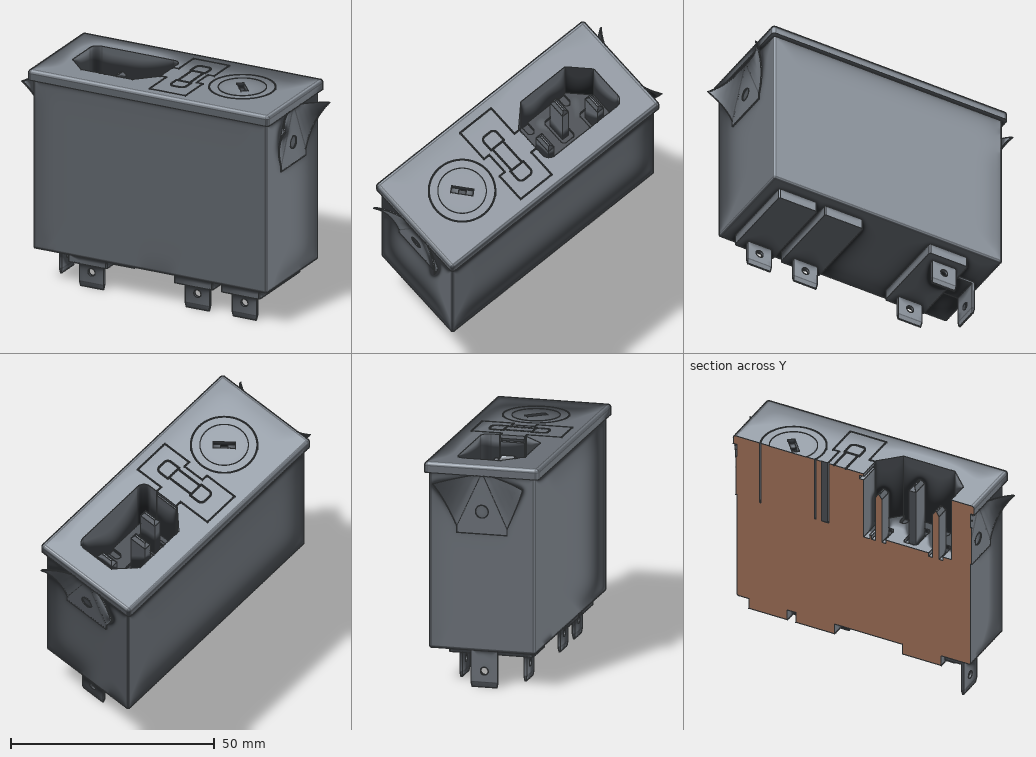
import cadquery as cq
import math

body_length, body_width = 65.1, 26.95
flange_length, flange_width = 67.1, 29.2
flange_thickness = 2.6
top_z = 47.3
flange_z = top_z - flange_thickness
body_edge_radius = 0.5
flange_edge_radius = 0.8

inlet_left, inlet_right = -27.1, -2.8
inlet_front, inlet_back = -8.0, 8.2
contact_mid_x = -14.9
inlet_bevel = 5.0
inlet_corner_radius = 2.1
inlet_depth = 17.7
inlet_floor = top_z - inlet_depth
floor_recess_depth = 1.0
pin_length_x, pin_length_y = 1.9, 4.7
pin_spacing, pin_row_y, earth_pin_y = 7.95, 2.2, -1.7
pin_taper_height, pin_taper = 1.2, 0.7
pin_top_gap, earth_pin_top_gap = 4.85, 1.9
pin_recess_x, pin_recess_y, pin_recess_radius = 3.8, 7.65, 0.95
key_width, key_length = 1.9, 3.1
key_spacing = 11.65

gap = 0.26
drawer_left, drawer_right = -1.2, 8.85
drawer_half_width = 11.5
tab_front, tab_back = -2.65, 3.75
tab_mid_y = (tab_front + tab_back) / 2
drawer_notch_x, drawer_notch_width = 7.15, 5.9
pull_thickness, pull_slot_height, pull_slot_depth = 0.9, 0.9, 1.2
latch_recess_length = 1.6
fuse_x, fuse_y, fuse_length = 3.9, 0.6, 14.95
fuse_cap_width, fuse_cap_length, fuse_cap_radius = 4.1, 3.8, 1.2
fuse_tube_width = 3.3
symbol_depth = 0.2

selector_x, selector_y = 18.35, 0.45
selector_radius, dial_radius = 8.2, 6.0
dial_depth = 0.1
driver_slot_length, driver_slot_width, driver_slot_depth = 5.5, 1.85, 1.5
driver_hole_depth = 2.2
driver_slot_angle = -50.0

terminal_drop = 9.65
blade_width, blade_thickness = 6.8, 0.7
tip_height, tip_thickness, tip_inset = 1.3, 0.3, 0.2
blade_hole_diameter, blade_hole_drop = 2.0, 5.5
block_height, block_length, block_width, block_bevel = 2.9, 10.8, 21.35, 0.3
inlet_block_x, output_block_xs = -18.9, (10.75, 23.9)
output_block_shift = -0.4
blade_row_y = 8.2
earth_blade_x = -30.3
earth_foot_end, earth_foot_thickness = -25.4, 0.65

clip_thickness = 0.3
clip_base_z, clip_fold_z, clip_half_width = 29.8, 31.45, 6.4
clip_apex_half_width, clip_apex_z = 0.15, 45.1
wing_tip_y, wing_tip_z = 11.5, 42.7
clip_reach = 36.8
rivet_diameter, rivet_z = 3.25, 35.5


def box(x0, x1, y0, y1, z0, z1):
    """Axis-aligned block given by its limits."""
    return cq.Workplane("XY").box(x1 - x0, y1 - y0, z1 - z0, centered=False).translate((x0, y0, z0))


def sunk_plane(x, y, depth_below_top=0.0):
    """Workplane facing up, at the given depth below the top face."""
    return cq.Workplane("XY", origin=(x, y, top_z - depth_below_top))


def groove_along(outline, depth):
    """Narrow vertical groove centred on a closed outline in the top face."""
    wire = outline.val()
    outer = cq.Workplane(wire).toPending().offset2D(gap / 2, "intersection").extrude(-depth)
    inner = cq.Workplane(wire).toPending().offset2D(-gap / 2, "intersection").extrude(-depth)
    return outer.cut(inner)


def make_housing():
    body = cq.Workplane("XY").box(body_length, body_width, top_z, centered=(True, True, False))
    body = body.edges("|Z or <Z").fillet(body_edge_radius)
    flange = cq.Workplane("XY", origin=(0, 0, flange_z))
    flange = flange.box(flange_length, flange_width, flange_thickness, centered=(True, True, False))
    flange = flange.edges("|Z or >Z").fillet(flange_edge_radius)
    return body.union(flange)


def make_inlet_cavity():
    """Socket opening with two rounded corners at the back and two bevels at the front."""
    outline = [
        (inlet_left, inlet_back),
        (inlet_right, inlet_back),
        (inlet_right, inlet_front + inlet_bevel),
        (inlet_right - inlet_bevel, inlet_front),
        (inlet_left + inlet_bevel, inlet_front),
        (inlet_left, inlet_front + inlet_bevel),
    ]
    cavity = cq.Workplane("XY", origin=(0, 0, inlet_floor)).polyline(outline).close().extrude(inlet_depth)
    return cavity.edges("|Z and >Y").fillet(inlet_corner_radius)


def pin_places():
    """Centre and tip height of the two line pins and the longer earth pin."""
    line_top, earth_top = top_z - pin_top_gap, top_z - earth_pin_top_gap
    return [
        (contact_mid_x - pin_spacing, pin_row_y, line_top),
        (contact_mid_x + pin_spacing, pin_row_y, line_top),
        (contact_mid_x, earth_pin_y, earth_top),
    ]


def make_pin(x, y, tip_z):
    """Rectangular contact pin with a wedge-shaped tip, rooted in its floor recess."""
    root_z = inlet_floor - floor_recess_depth
    shoulder_z = tip_z - pin_taper_height
    shaft = cq.Workplane("XY", origin=(x, y, root_z)).rect(pin_length_x, pin_length_y)
    shaft = shaft.extrude(shoulder_z - root_z)
    tip = (
        cq.Workplane("XY", origin=(x, y, shoulder_z))
        .rect(pin_length_x, pin_length_y)
        .workplane(offset=pin_taper_height)
        .rect(pin_length_x - 2 * pin_taper, pin_length_y - 2 * pin_taper)
        .loft(ruled=True)
    )
    return shaft.union(tip)


def make_inlet_floor_recesses():
    """Recesses around the pins, the three keyways and the latch pocket in the socket floor."""
    recesses = cq.Workplane("XY")
    for x, y, _ in pin_places():
        recess = sunk_plane(x, y, inlet_depth).rect(pin_recess_x, pin_recess_y)
        recesses = recesses.union(recess.extrude(-floor_recess_depth).edges("|Z").fillet(pin_recess_radius))

    keys = [
        (contact_mid_x, inlet_back, -1),
        (contact_mid_x - key_spacing / 2, inlet_front, 1),
        (contact_mid_x + key_spacing / 2, inlet_front, 1),
    ]
    straight = key_length - key_width / 2
    for x, wall_y, inward in keys:
        key = (
            sunk_plane(x, wall_y, inlet_depth)
            .moveTo(-key_width / 2, 0)
            .lineTo(-key_width / 2, inward * straight)
            .threePointArc((0, inward * key_length), (key_width / 2, inward * straight))
            .lineTo(key_width / 2, 0)
            .close()
        )
        recesses = recesses.union(key.extrude(-floor_recess_depth))

    latch = box(
        inlet_right - latch_recess_length, inlet_right, tab_front, tab_back,
        inlet_floor - floor_recess_depth, inlet_floor,
    )
    return recesses.union(latch)


def make_drawer_gap():
    """Narrow gap around the fuse drawer; the drawer's tab ends at the socket wall."""
    outline = [
        (inlet_right, tab_back),
        (drawer_left, tab_back),
        (drawer_left, drawer_half_width),
        (drawer_right, drawer_half_width),
        (drawer_right, tab_mid_y + drawer_notch_width / 2),
        (drawer_notch_x, tab_mid_y + drawer_notch_width / 2),
        (drawer_notch_x, tab_mid_y - drawer_notch_width / 2),
        (drawer_right, tab_mid_y - drawer_notch_width / 2),
        (drawer_right, -drawer_half_width),
        (drawer_left, -drawer_half_width),
        (drawer_left, tab_front),
        (inlet_right, tab_front),
    ]
    groove = groove_along(sunk_plane(0, 0).polyline(outline).close(), inlet_depth)
    wall_side = box(
        inlet_right - gap, inlet_right + gap, tab_front + gap / 2, tab_back - gap / 2, inlet_floor, top_z
    )
    return groove.cut(wall_side)


def make_pull_slot():
    """Finger slot in the socket wall, under the drawer's tab."""
    slot_top = top_z - pull_thickness
    return box(
        inlet_right, inlet_right + pull_slot_depth, tab_front, tab_back, slot_top - pull_slot_height, slot_top
    )


def make_fuse_symbol():
    """Fuse picture engraved on the drawer: a tube between two rounded caps."""
    tube_length = fuse_length - 2 * fuse_cap_length
    symbol = groove_along(sunk_plane(fuse_x, fuse_y).rect(fuse_tube_width, tube_length), symbol_depth)
    half_width = fuse_cap_width / 2
    for outward in (1, -1):
        cap_base = outward * tube_length / 2
        cap_end = outward * fuse_length / 2
        shoulder = cap_end - outward * fuse_cap_radius
        arc_sag = fuse_cap_radius * (1 - math.sqrt(0.5))
        cap = (
            sunk_plane(fuse_x, fuse_y)
            .moveTo(-half_width, cap_base)
            .lineTo(-half_width, shoulder)
            .threePointArc(
                (-half_width + arc_sag, cap_end - outward * arc_sag),
                (-half_width + fuse_cap_radius, cap_end),
            )
            .lineTo(half_width - fuse_cap_radius, cap_end)
            .threePointArc((half_width - arc_sag, cap_end - outward * arc_sag), (half_width, shoulder))
            .lineTo(half_width, cap_base)
            .close()
        )
        symbol = symbol.union(groove_along(cap, symbol_depth))
    return symbol


def make_selector():
    """Round selector: gap around it, dial face and screwdriver slot with a square centre hole."""
    ring = sunk_plane(selector_x, selector_y).circle(selector_radius + gap / 2)
    ring = ring.circle(selector_radius - gap / 2).extrude(-inlet_depth)
    dial = sunk_plane(selector_x, selector_y).circle(dial_radius).extrude(-dial_depth)
    slot = cq.Workplane("XY").rect(driver_slot_length, driver_slot_width).extrude(-driver_slot_depth)
    centre_hole = cq.Workplane("XY").rect(driver_slot_width, driver_slot_width).extrude(-driver_hole_depth)
    slot = slot.union(centre_hole).rotate((0, 0, 0), (0, 0, 1), driver_slot_angle)
    return ring.union(dial).union(slot.translate((selector_x, selector_y, top_z)))


def make_blade():
    """Flat tab terminal hanging from z = 0, its thickness along Y, thinned at the tip."""
    taper_z = tip_height - terminal_drop

    def tapered_outline(width, tip_width):
        return [
            (-width / 2, 0),
            (width / 2, 0),
            (width / 2, taper_z),
            (tip_width / 2, -terminal_drop),
            (-tip_width / 2, -terminal_drop),
            (-width / 2, taper_z),
        ]

    face = cq.Workplane("XZ").polyline(tapered_outline(blade_width, blade_width - 2 * tip_inset)).close()
    edge = cq.Workplane("YZ").polyline(tapered_outline(blade_thickness, tip_thickness)).close()
    blade = face.extrude(blade_thickness, both=True).intersect(edge.extrude(blade_width, both=True))
    hole = cq.Workplane("XZ", origin=(0, 0, -blade_hole_drop)).circle(blade_hole_diameter / 2)
    return blade.cut(hole.extrude(blade_thickness, both=True))


def make_terminals():
    """Insulating blocks with their blades, and the angled earth blade."""
    blade = make_blade()
    block = cq.Workplane("XY").box(block_length, block_width, block_height, centered=(True, True, False))
    block = block.edges("|Z").chamfer(block_bevel).translate((0, 0, -block_height))

    terminals = block.translate((inlet_block_x, 0, 0))
    for y in (blade_row_y, -blade_row_y):
        terminals = terminals.union(blade.translate((inlet_block_x, y, 0)))
    for x in output_block_xs:
        terminals = terminals.union(block.translate((x, output_block_shift, 0)))
        terminals = terminals.union(blade.translate((x, output_block_shift - blade_row_y, 0)))

    earth_blade = blade.rotate((0, 0, 0), (0, 0, 1), 90).translate((earth_blade_x, 0, 0))
    earth_foot = box(
        earth_blade_x, earth_foot_end, -blade_width / 2, blade_width / 2, -earth_foot_thickness, 0
    )
    return terminals.union(earth_blade).union(earth_foot)


def make_clip():
    """Spring clip on the +X end: a flat plate with two wings curling outward about slanted folds."""
    wall_x = body_length / 2
    plate_outline = [
        (-clip_half_width, clip_base_z),
        (clip_half_width, clip_base_z),
        (clip_half_width, clip_fold_z),
        (clip_apex_half_width, clip_apex_z),
        (-clip_apex_half_width, clip_apex_z),
        (-clip_half_width, clip_fold_z),
    ]
    plate = cq.Workplane("YZ", origin=(wall_x, 0, 0)).polyline(plate_outline).close().extrude(clip_thickness)
    rivet_hole = cq.Workplane("YZ", origin=(wall_x, 0, rivet_z)).circle(rivet_diameter / 2)
    plate = plate.cut(rivet_hole.extrude(clip_thickness))

    fold_y = clip_half_width - clip_apex_half_width
    fold_z = clip_fold_z - clip_apex_z
    fold_length = math.hypot(fold_y, fold_z)
    fold = cq.Vector(0, fold_y / fold_length, fold_z / fold_length)
    across = cq.Vector(0, -fold.z, fold.y)
    tip_offset = (wing_tip_y - clip_half_width) * across.y + (wing_tip_z - clip_fold_z) * across.z
    rise = clip_reach - wall_x
    arc_rise = rise - clip_thickness
    inner_radius = (tip_offset**2 + arc_rise**2) / (2 * arc_rise)
    radius = inner_radius + clip_thickness
    tip_angle = math.asin(tip_offset / inner_radius)

    fold_plane = cq.Plane(
        origin=(wall_x, clip_half_width, clip_fold_z), xDir=across.toTuple(), normal=fold.toTuple()
    )

    def sheet_point(r, angle):
        return (r * math.sin(angle), radius - r * math.cos(angle))

    sheet = (
        cq.Workplane(fold_plane)
        .moveTo(*sheet_point(radius, 0))
        .threePointArc(sheet_point(radius, tip_angle / 2), sheet_point(radius, tip_angle))
        .lineTo(*sheet_point(inner_radius, tip_angle))
        .threePointArc(sheet_point(inner_radius, tip_angle / 2), sheet_point(inner_radius, 0))
        .close()
        .extrude(fold_length, both=True)
    )
    wing_outline = [
        (clip_half_width, clip_fold_z),
        (wing_tip_y, wing_tip_z),
        (clip_apex_half_width, clip_apex_z),
    ]
    wing_prism = cq.Workplane("YZ", origin=(wall_x, 0, 0)).polyline(wing_outline).close().extrude(2 * rise)
    wing = sheet.intersect(wing_prism)
    return plate.union(wing).union(wing.mirror("XZ"))


clip = make_clip()
result = (
    make_housing()
    .cut(make_inlet_cavity())
    .cut(make_inlet_floor_recesses())
    .cut(make_drawer_gap())
    .cut(make_pull_slot())
    .cut(make_fuse_symbol())
    .cut(make_selector())
)
for pin_x, pin_y, pin_tip_z in pin_places():
    result = result.union(make_pin(pin_x, pin_y, pin_tip_z))
result = result.union(make_terminals()).union(clip).union(clip.mirror("YZ"))